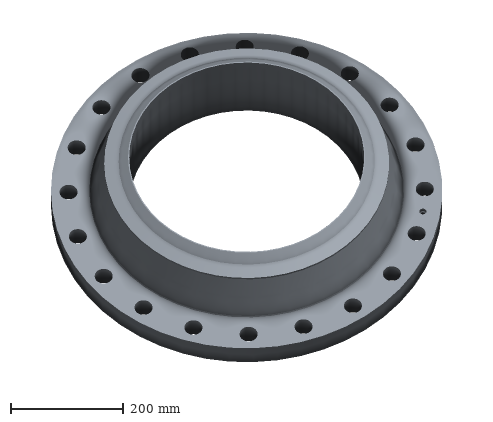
import cadquery as cq

flange_diameter = 698.0
overall_height = 144.5
raised_face_diameter = 584.0
raised_face_height = 2.0
plate_thickness = 42.0

bore_diameter = 419.0
hub_base_diameter = 561.5
hub_foot_diameter = 558.5
hub_foot_height = 2.0
hub_top_diameter = 508.5
hub_band_height = 4.0

weld_tip_diameter = 423.0
weld_root_diameter = 457.0
weld_bevel_height = 12.5
shoulder_drop = 5.5

bolt_count = 20
bolt_circle_diameter = 635.5
bolt_hole_diameter = 32.0
jack_hole_diameter = 7.0
jack_mouth_diameter = 12.5
jack_mouth_depth = 7.0
jack_hole_depth = plate_thickness / 2

bolt_pitch_angle = 360.0 / bolt_count
jack_hole_angle = bolt_pitch_angle / 2
plate_top = raised_face_height + plate_thickness
weld_root_z = overall_height - weld_bevel_height
hub_top_z = weld_root_z - shoulder_drop


def flange_body():
    """Revolve the half section of plate, hub and weld end about Z."""
    section = [
        (bore_diameter, 0),
        (raised_face_diameter, 0),
        (raised_face_diameter, raised_face_height),
        (flange_diameter, raised_face_height),
        (flange_diameter, plate_top),
        (hub_base_diameter, plate_top),
        (hub_foot_diameter, plate_top + hub_foot_height),
        (hub_top_diameter, hub_top_z - hub_band_height),
        (hub_top_diameter, hub_top_z),
        (weld_root_diameter, weld_root_z),
        (weld_tip_diameter, overall_height),
        (bore_diameter, overall_height),
    ]
    points = [(diameter / 2, height) for diameter, height in section]
    return cq.Workplane("XZ").polyline(points).close().revolve(360, (0, 0), (0, 1))


def bolt_holes():
    """Ring of through-hole cutters, the first one on +X."""
    return (
        cq.Workplane("XY")
        .polarArray(bolt_circle_diameter / 2, 0, 360, bolt_count)
        .circle(bolt_hole_diameter / 2)
        .extrude(plate_top)
    )


def jack_hole():
    """Cutter for a blind hole with a wider flat-bottomed mouth, sunk from the plate top."""
    mouth_radius = jack_mouth_diameter / 2
    hole_radius = jack_hole_diameter / 2
    section = [
        (0, 0),
        (mouth_radius, 0),
        (mouth_radius, -jack_mouth_depth),
        (hole_radius, -jack_mouth_depth),
        (hole_radius, -jack_hole_depth),
        (0, -jack_hole_depth),
    ]
    cutter = cq.Workplane("XZ").polyline(section).close().revolve(360, (0, 0), (0, 1))
    on_bolt_circle = cutter.translate((bolt_circle_diameter / 2, 0, plate_top))
    return on_bolt_circle.rotate((0, 0, 0), (0, 0, 1), jack_hole_angle)


result = flange_body().cut(bolt_holes()).cut(jack_hole())